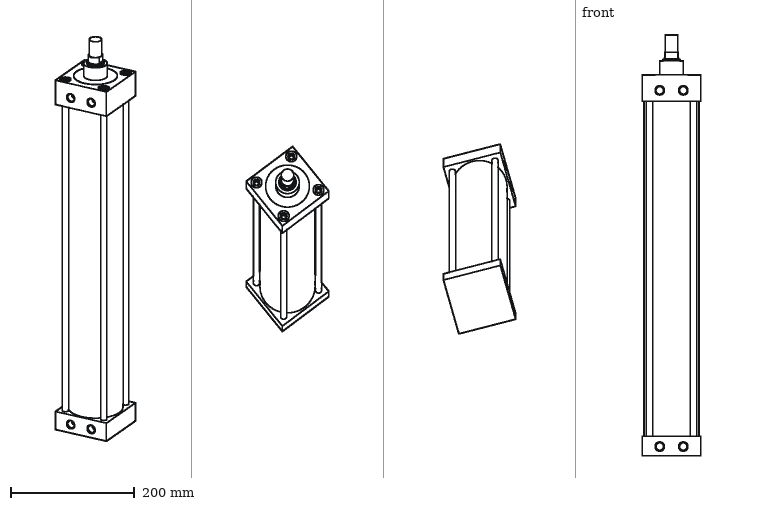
import cadquery as cq

total_length = 679.5
side = 95.0
cap_height = 32.0
head_bottom = 572.0
head_height = 43.0
head_top = head_bottom + head_height

barrel_length = head_bottom - cap_height
barrel_diameter = 89.0
tie_rod_diameter = 10.0
tie_rod_pitch = 71.5

pocket_diameter = 18.0
pocket_depth = 1.0
pocket_hole_diameter = 11.0
pocket_hole_depth = 10.0

gland_diameter = 71.0
gland_thickness = 0.35

boss_diameter = 38.0
boss_height = 22.5
boss_top = head_top + boss_height
lip_diameter = 28.0
lip_straight_height = 2.0
lip_taper_height = 1.5

port_spacing = 38.0
port_diameter = 15.0
port_depth = 13.5
head_port_height = 590.0
cap_port_height = 15.0

mouth_chamfer = 1.5
tip_depth = 3.0

rod_diameter = 24.0
rod_end_diameter = 20.5
rod_shoulder = 651.5
flat_width = 21.0
flat_height = 10.0


def level(height):
    """Horizontal workplane at a given height."""
    return cq.Workplane("XY").workplane(offset=height)


def cylinder(diameter, bottom, height):
    return level(bottom).circle(diameter / 2).extrude(height)


def square_block(bottom, height):
    return level(bottom).rect(side, side).extrude(height)


def tie_rod_centers(height):
    return level(height).rect(tie_rod_pitch, tie_rod_pitch, forConstruction=True).vertices()


def drilled_hole(diameter, depth):
    """Blind hole down from the origin, with a chamfered mouth and a conical tip."""
    mouth_radius = diameter / 2
    bore_radius = mouth_radius - mouth_chamfer
    outline = [
        (0, 0),
        (mouth_radius, 0),
        (bore_radius, -mouth_chamfer),
        (bore_radius, -depth),
        (0, -depth - tip_depth),
    ]
    return cq.Workplane("XZ").polyline(outline).close().revolve(360, (0, 0), (0, 1)).val()


def tie_rods():
    return tie_rod_centers(cap_height).circle(tie_rod_diameter / 2).extrude(barrel_length)


def guide_boss():
    boss = cylinder(boss_diameter, head_top, boss_height)
    lip = cylinder(lip_diameter, boss_top, lip_straight_height)
    taper_base = cq.Vector(0, 0, boss_top + lip_straight_height)
    taper = cq.Solid.makeCone(lip_diameter / 2, rod_diameter / 2, lip_taper_height, taper_base)
    return boss.union(lip).union(cq.Workplane(taper))


def tie_rod_pockets():
    pockets = tie_rod_centers(head_top).circle(pocket_diameter / 2).extrude(-pocket_depth)
    hole = drilled_hole(pocket_hole_diameter, pocket_hole_depth)
    holes = tie_rod_centers(head_top - pocket_depth).eachpoint(lambda place: hole.moved(place))
    return pockets.union(holes)


def port_pair(height):
    hole = drilled_hole(port_diameter, port_depth)
    face = cq.Workplane(cq.Plane(origin=(0, -side / 2, height), xDir=(1, 0, 0), normal=(0, -1, 0)))
    return face.rarray(port_spacing, 7, 2, 1).eachpoint(lambda place: hole.moved(place))


def make_housing():
    housing = square_block(0, cap_height)
    housing = housing.union(square_block(head_bottom, head_height))
    housing = housing.union(cylinder(barrel_diameter, cap_height, barrel_length))
    housing = housing.union(tie_rods())
    housing = housing.union(cylinder(gland_diameter, head_top, gland_thickness))
    housing = housing.union(guide_boss())
    housing = housing.cut(tie_rod_pockets())
    for height in (head_port_height, cap_port_height):
        housing = housing.cut(port_pair(height))
    rod_bore = cylinder(rod_diameter, head_bottom, total_length - head_bottom)
    return housing.cut(rod_bore)


def make_piston_rod():
    shank = cylinder(rod_diameter, head_bottom, rod_shoulder - head_bottom)
    flat_bottom = rod_shoulder - flat_height
    outside_flats = cylinder(2 * rod_diameter, flat_bottom, flat_height).cut(
        level(flat_bottom).rect(flat_width, 2 * rod_diameter).extrude(flat_height)
    )
    rod_end = cylinder(rod_end_diameter, rod_shoulder, total_length - rod_shoulder)
    return shank.cut(outside_flats).union(rod_end)


housing = make_housing()
piston_rod = make_piston_rod()
result = cq.Compound.makeCompound([housing.val(), piston_rod.val()])